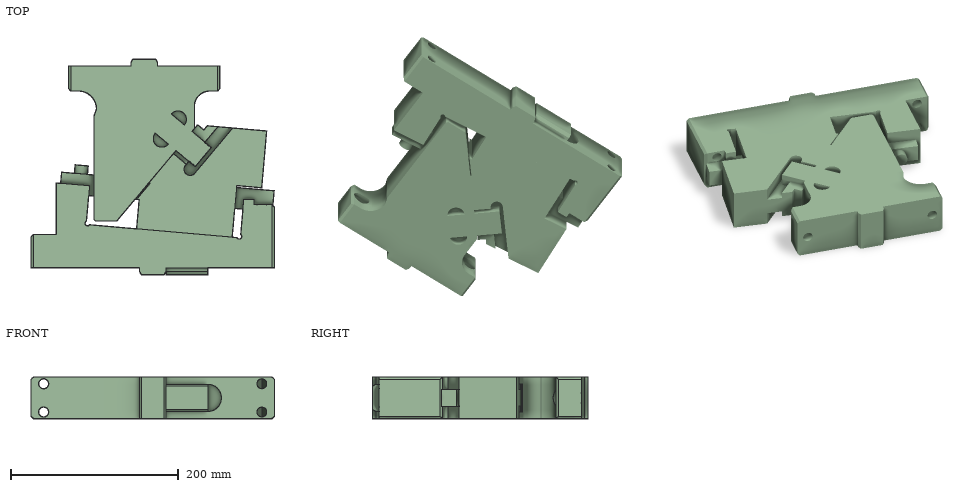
import cadquery as cq
import math


thickness = 50.0
half_thickness = thickness / 2
end_chamfer = 3.0
key_width = 32.0
key_height = 8.0
key_chamfer_x = 2.3
key_chamfer_y = 4.0
hole_diameter = 11.5
overcut = 14.5

base_length = 290.0
base_right = base_length / 2
base_left = -base_right
foot_height = 40.0
left_post_x = base_left + 30.0
right_post_top = 81.8
right_post_step_x = 120.7
right_post_low_top = 75.5
base_hole_x = 130.0
base_hole_z = 16.8
floor_angle = 5.0
floor_corner = (-79.2, 52.0)
floor_length = 184.2
left_post_height = 46.0
relief_radius = 3.0
relief_inset = 1.5

block_end_x = 65.5
block_width = 32.5
block_chamfer_y = 4.0
block_chamfer_z = 2.3
recess_depth = 8.0

plate_width = 20.0
plate_top = 59.5
plate_leg_bottom = 34.2
plate_seat = 40.5
left_plate_start = -34.8
right_plate_end = 219.5
pin_position = -11.5
pin_diameter = 16.0
pin_height = 10.2

driver_x = -10.2
driver_top = 240.8
flange_length = 180.5
flange_thickness = 30.2
flange_bottom = driver_top - flange_thickness
stem_width = 119.8
stem_left = driver_x - stem_width / 2
stem_right = driver_x + stem_width / 2
nose = (-43.0, 55.7)
nose_chamfer = 2.0
wedge_angle = 50.0
left_fillet_radius = 21.2
left_fillet_bite = 3.0
left_fillet_run_out = 8.5
right_fillet_radius = 18.0
flange_hole_offset = 77.5
flange_bore_diameter = 20.0
flange_bore_depth = 5.0

hook_center = 124.7
hook_width = 30.0
hook_reach = 30.0
hook_depth = 8.0
hook_arm_thickness = 7.0
hook_lip_inset = 1.0
hook_low = hook_center - hook_width / 2
hook_high = hook_center + hook_width / 2
hook_seat_radius = 10.2
hook_seat_inset = 22.0
hook_slot_start = 20.0
hook_slot_width = 14.5
hook_slot_depth = 15.0
hook_slot_center = 103.5
hook_clearance = 4.5

slide_left = 60.0
slide_right = 174.5
slide_overhang_end = 204.5
slide_overhang_bottom = 61.5
slide_top = 129.7
slide_toe_height = 34.8
notch_corner_along = 150.0
notch_corner_out = 9.5
toe_relief_step = 1.5
toe_relief_length = 60.3


def frame(origin, angle, z=0.0):
    direction = (math.cos(math.radians(angle)), math.sin(math.radians(angle)), 0)
    return cq.Workplane(cq.Plane(origin=(*origin, z), xDir=direction, normal=(0, 0, 1)))


def floor_frame():
    return frame(floor_corner, -floor_angle)


def wedge_frame(z=0.0):
    return frame(nose, wedge_angle, z)


def floor_prism(points, width=thickness):
    return floor_frame().polyline(points).close().extrude(width / 2, both=True)


def wedge_box(along_1, along_2, out_1, out_2, depth):
    """Box from the +Z face downwards, placed relative to the wedge face."""
    return (
        wedge_frame(half_thickness - depth)
        .moveTo(along_1, -out_1)
        .lineTo(along_2, -out_1)
        .lineTo(along_2, -out_2)
        .lineTo(along_1, -out_2)
        .close()
        .extrude(depth)
    )


def both_faces(shape):
    """The shape together with its mirror image in the mid-plane."""
    return shape.union(shape.mirror("XY"))


def hole_along_y(x, z, diameter, y_start, y_end):
    plane = cq.Plane(origin=(x, y_start, z), xDir=(1, 0, 0), normal=(0, 1, 0))
    return cq.Workplane(plane).circle(diameter / 2).extrude(y_end - y_start)


def end_chamfer_cutter(x_end, inward, y_low, y_high):
    """Two wedges that chamfer the Z edges of an end face at x_end."""
    cutter = (
        cq.Workplane("XZ", origin=(0, y_low, 0))
        .polyline([
            (x_end, half_thickness - end_chamfer),
            (x_end, half_thickness),
            (x_end + inward * end_chamfer, half_thickness),
        ])
        .close()
        .extrude(y_low - y_high)
    )
    return both_faces(cutter)


def base_outline():
    half_key = key_width / 2
    return (
        cq.Workplane("XY")
        .moveTo(base_left, 0)
        .lineTo(-half_key, 0)
        .lineTo(-half_key, key_chamfer_y - key_height)
        .lineTo(key_chamfer_x - half_key, -key_height)
        .lineTo(half_key - key_chamfer_x, -key_height)
        .lineTo(half_key, key_chamfer_y - key_height)
        .lineTo(half_key, 0)
        .lineTo(base_right, 0)
        .lineTo(base_right, right_post_low_top - end_chamfer)
        .lineTo(base_right - end_chamfer, right_post_low_top)
        .lineTo(right_post_step_x, right_post_low_top)
        .lineTo(right_post_step_x, right_post_top)
        .lineTo(left_post_x, right_post_top)
        .lineTo(left_post_x, foot_height)
        .lineTo(base_left + end_chamfer, foot_height)
        .lineTo(base_left, foot_height - end_chamfer)
        .close()
        .extrude(half_thickness, both=True)
    )


def left_post():
    """Post with a sloping top, standing on the foot against the slide channel."""
    slope = math.tan(math.radians(floor_angle))
    wall_top_x = floor_corner[0] + left_post_height * math.sin(math.radians(floor_angle))
    wall_top_y = floor_corner[1] + left_post_height * math.cos(math.radians(floor_angle))
    return (
        cq.Workplane("XY")
        .moveTo(left_post_x, foot_height)
        .lineTo(floor_corner[0], foot_height)
        .lineTo(*floor_corner)
        .lineTo(wall_top_x, wall_top_y)
        .lineTo(left_post_x, wall_top_y + slope * (wall_top_x - left_post_x))
        .close()
        .extrude(half_thickness, both=True)
    )


def slide_channel():
    """Space between the posts, with a round relief in each lower corner."""
    channel = floor_prism([
        (0, 0), (floor_length, 0), (floor_length, slide_top), (0, slide_top),
    ])
    for position in (relief_inset, floor_length - relief_inset):
        relief = floor_frame().center(position, relief_inset).circle(relief_radius)
        channel = channel.union(relief.extrude(half_thickness, both=True))
    return channel


def guide_block():
    """Chamfered block beside the key, running from the recess floor to the key's height."""
    half_width = block_width / 2
    return (
        cq.Workplane("YZ", origin=(key_width / 2, 0, 0))
        .polyline([
            (recess_depth, -half_width),
            (block_chamfer_y - key_height, -half_width),
            (-key_height, block_chamfer_z - half_width),
            (-key_height, half_width - block_chamfer_z),
            (block_chamfer_y - key_height, half_width),
            (recess_depth, half_width),
        ])
        .close()
        .extrude(block_end_x - key_width / 2)
    )


def left_plate():
    """Angled plate over the left post, cut off flush with the driver's stem."""
    plate = floor_prism([
        (left_plate_start, left_post_height),
        (0, left_post_height),
        (0, plate_leg_bottom),
        (overcut, plate_leg_bottom),
        (overcut, plate_top),
        (left_plate_start, plate_top),
    ], plate_width)
    stem_side = cq.Workplane("XY").box(
        overcut * 2, driver_top, thickness, centered=(False, False, True)
    ).translate((stem_left, 0, 0))
    return plate.cut(stem_side)


def right_plate():
    """Angled plate over the right post, with its leg against the slide."""
    return floor_prism([
        (slide_right, plate_leg_bottom),
        (floor_length, plate_leg_bottom),
        (floor_length, plate_seat),
        (right_plate_end, plate_seat),
        (right_plate_end, plate_top),
        (slide_right, plate_top),
    ], plate_width)


def pin():
    plane = floor_frame().plane
    side = cq.Plane(
        origin=plane.toWorldCoords((pin_position, plate_top, 0)),
        xDir=plane.xDir,
        normal=plane.yDir,
    )
    return cq.Workplane(side).circle(pin_diameter / 2).extrude(pin_height)


def make_base():
    base = base_outline().union(left_post()).cut(slide_channel())
    base = base.cut(end_chamfer_cutter(base_left, 1, 0, foot_height))
    base = base.cut(end_chamfer_cutter(base_right, -1, 0, right_post_low_top))
    for x in (-base_hole_x, base_hole_x):
        for z in (-base_hole_z, base_hole_z):
            base = base.cut(hole_along_y(x, z, hole_diameter, 0, right_post_top))
    base = base.cut(hole_along_y(block_end_x, 0, block_width, 0, recess_depth))
    base = base.union(guide_block())
    return base.union(left_plate()).union(right_plate()).union(pin())


def driver_outline():
    flange_left = driver_x - flange_length / 2
    flange_right = driver_x + flange_length / 2
    key_left = driver_x - key_width / 2
    key_right = driver_x + key_width / 2
    key_top = driver_top + key_height
    wedge_top = nose[1] + (stem_right - nose[0]) * math.tan(math.radians(wedge_angle))
    left_arc_x = stem_left + left_fillet_bite - left_fillet_radius
    left_arc_y = flange_bottom - left_fillet_radius
    return (
        cq.Workplane("XY")
        .moveTo(*nose)
        .lineTo(stem_right, wedge_top)
        .lineTo(stem_right, flange_bottom - right_fillet_radius)
        .radiusArc((stem_right + right_fillet_radius, flange_bottom), right_fillet_radius)
        .lineTo(flange_right - end_chamfer, flange_bottom)
        .lineTo(flange_right, flange_bottom + end_chamfer)
        .lineTo(flange_right, driver_top)
        .lineTo(key_right, driver_top)
        .lineTo(key_right, key_top - key_chamfer_y)
        .lineTo(key_right - key_chamfer_x, key_top)
        .lineTo(key_left + key_chamfer_x, key_top)
        .lineTo(key_left, key_top - key_chamfer_y)
        .lineTo(key_left, driver_top)
        .lineTo(flange_left, driver_top)
        .lineTo(flange_left, flange_bottom + end_chamfer)
        .lineTo(flange_left + end_chamfer, flange_bottom)
        .lineTo(left_arc_x, flange_bottom)
        .radiusArc((left_arc_x + left_fillet_radius, left_arc_y), left_fillet_radius)
        .lineTo(stem_left, left_arc_y - left_fillet_run_out)
        .lineTo(stem_left, nose[1] + nose_chamfer)
        .lineTo(stem_left + nose_chamfer, nose[1])
        .close()
        .extrude(half_thickness, both=True)
    )


def hook_seats():
    """Half-round pockets on either side of each hook arm."""
    seats = (
        wedge_frame(half_thickness - hook_depth)
        .pushPoints([(hook_low, hook_seat_inset), (hook_high, hook_seat_inset)])
        .circle(hook_seat_radius)
        .extrude(hook_depth)
    )
    arm = wedge_box(hook_low, hook_high, 0, -2 * hook_seat_inset, hook_depth)
    return both_faces(seats.cut(arm))


def return_hooks():
    """Arms across the wedge face with a lip that reaches into the slide's slot."""
    arm = wedge_box(hook_low, hook_high, 0, hook_reach, hook_arm_thickness)
    lip = wedge_box(
        hook_low + hook_lip_inset, hook_high - hook_lip_inset,
        hook_slot_start, hook_reach, hook_slot_depth,
    )
    return both_faces(arm.union(lip))


def make_driver():
    driver = driver_outline()
    for side in (-1, 1):
        x_end = driver_x + side * flange_length / 2
        driver = driver.cut(end_chamfer_cutter(x_end, -side, flange_bottom, driver_top))
        x_hole = driver_x + side * flange_hole_offset
        bore_end = flange_bottom + flange_bore_depth
        driver = driver.cut(hole_along_y(x_hole, 0, hole_diameter, flange_bottom, driver_top))
        driver = driver.cut(
            hole_along_y(x_hole, 0, flange_bore_diameter, flange_bottom - left_fillet_radius, bore_end)
        )
    return driver.cut(hook_seats()).union(return_hooks())


def slide_block():
    block = floor_prism([
        (slide_left, 0),
        (slide_right, 0),
        (slide_right, slide_overhang_bottom),
        (slide_overhang_end, slide_overhang_bottom),
        (slide_overhang_end, slide_top),
        (0, slide_top),
        (0, slide_toe_height),
        (slide_left, slide_toe_height),
    ])
    driver_side = (
        wedge_frame()
        .rect(base_length * 2, base_length, centered=(True, False))
        .extrude(half_thickness, both=True)
    )
    return block.cut(driver_side)


def wedge_notch():
    """Square notch through the upper end of the wedge face."""
    return (
        wedge_frame()
        .moveTo(notch_corner_along, -notch_corner_out)
        .rect(overcut * 2, overcut * 2, centered=False)
        .extrude(half_thickness, both=True)
    )


def hook_pocket():
    """Clearance under the hook arms and the round-ended slots for their lips."""
    run_out = hook_high + 4 * overcut
    shelf = wedge_box(hook_low - hook_clearance, run_out, 0, hook_slot_start, hook_depth)
    slot_middle = hook_slot_start + hook_slot_width / 2
    slot = wedge_box(
        hook_slot_center, run_out, hook_slot_start,
        hook_slot_start + hook_slot_width, hook_slot_depth,
    )
    slot_end = (
        wedge_frame(half_thickness - hook_slot_depth)
        .center(hook_slot_center, -slot_middle)
        .circle(hook_slot_width / 2)
        .extrude(hook_slot_depth)
    )
    return both_faces(shelf.union(slot).union(slot_end))


def toe_relief():
    """Shallow step that sets the lower part of the wedge face back near the Z faces."""
    return both_faces(wedge_box(0, toe_relief_length, 0, toe_relief_step, hook_depth))


def make_slide():
    return slide_block().cut(wedge_notch()).cut(hook_pocket()).cut(toe_relief())


base = make_base()
driver = make_driver()
slide = make_slide()
result = cq.Compound.makeCompound([base.val(), driver.val(), slide.val()])